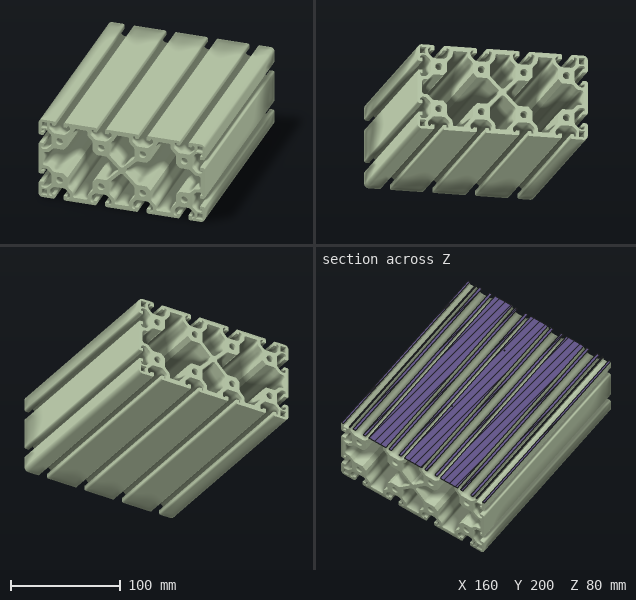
import cadquery as cq
import math

width = 160.0
height = 80.0
length = 200.0
pitch = 40.0
corner_radius = 4.0
side_skin = 4.0
cover_skin = 4.5

mouth_width = 8.2
mouth_half = mouth_width / 2
mouth_radius = 1.5
lip_half = 7.2
lip_depth = 4.5
undercut_depth = 2.5
undercut_radius = 2.5
groove_half = 10.2
groove_bend_depth = 7.5
groove_depth = 12.5
overshoot = 2.0

housing_half = 13.0
housing_bend_depth = 9.5
bend_radius = 4.0
side_flare = 2.5
cover_flare = 1.5

post_half = 7.8
post_chamfer = 3.8
hole_diameter = 6.8
cell_size = 6.0
cell_wall = 2.5
brace_thickness = 3.2
hub_size = 7.0

slot_inset = pitch / 2
post_xs = [slot_inset + i * pitch - width / 2 for i in range(4)]
post_zs = [slot_inset - height / 2, height / 2 - slot_inset]
post_centres = [(x, z) for x in post_xs for z in post_zs]


def section():
    """Sketch plane of the profile: local x is X, local y is Z."""
    return cq.Workplane("XZ")


def extrude(outline):
    return outline.extrude(length / 2, both=True)


def place(body, x, z, turn):
    """Turn a body about Y, then move it to (x, z)."""
    return body.rotate((0, 0, 0), (0, 1, 0), turn).translate((x, 0, z))


def round_edges(body, spots, radius):
    """Fillet the edges along Y that pass through the given (x, z) spots."""
    for x, z in spots:
        body = body.edges(cq.selectors.NearestToPointSelector((x, 0, z))).fillet(radius)
    return body


def slot_housing(skin, flare):
    """Wall around a slot that opens upward, with the outer face at z = 0."""
    skin_corner = (housing_half, -skin)
    wall_corner = (housing_half, -housing_bend_depth)
    post_corner = (post_half, -housing_bend_depth - (housing_half - post_half))
    outline = [
        (0, 0),
        (slot_inset, 0),
        (slot_inset, -skin),
        skin_corner,
        wall_corner,
        post_corner,
        (post_half, -slot_inset),
        (0, -slot_inset),
    ]
    half = extrude(section().polyline(outline).close())
    half = round_edges(half, [skin_corner], flare)
    half = round_edges(half, [wall_corner, post_corner], bend_radius)
    return half.union(half.mirror("YZ"))


def slot_cutter():
    """Open space of a slot that opens upward, with the outer face at z = 0."""
    mouth_corner = (mouth_half, 0)
    undercut_corner = (groove_half, -undercut_depth)
    groove_corner = (groove_half, -groove_bend_depth)
    floor_corner = (groove_half - (groove_depth - groove_bend_depth), -groove_depth)
    outline = [
        (0, overshoot),
        (slot_inset, overshoot),
        (slot_inset, 0),
        mouth_corner,
        (mouth_half, -lip_depth),
        (lip_half, -lip_depth),
        (lip_half, -undercut_depth),
        undercut_corner,
        groove_corner,
        floor_corner,
        (0, -groove_depth),
    ]
    half = extrude(section().polyline(outline).close())
    half = round_edges(half, [mouth_corner], mouth_radius)
    half = round_edges(half, [undercut_corner], undercut_radius)
    half = round_edges(half, [groove_corner, floor_corner], bend_radius)
    return half.union(half.mirror("YZ"))


def outer_block():
    return extrude(section().rect(width, height)).edges("|Y").fillet(corner_radius)


def outer_skin():
    inside = extrude(section().rect(width - 2 * side_skin, height - 2 * cover_skin))
    return outer_block().cut(inside)


def post(x, z):
    """Square post whose corner facing the middle of its end chamber is chamfered."""
    chamber_x = math.copysign(width / 2 - pitch, x)
    toward_x = math.copysign(post_half, chamber_x - x)
    toward_z = math.copysign(post_half, -z)
    keep = 1 - post_chamfer / post_half
    corners = [
        (-toward_x, -toward_z),
        (toward_x, -toward_z),
        (toward_x, toward_z * keep),
        (toward_x * keep, toward_z),
        (-toward_x, toward_z),
    ]
    return extrude(section().polyline(corners).close()).translate((x, 0, z))


def braces():
    """Crossed diagonal webs between the four middle posts, with a square hub."""
    brace_length = pitch * math.sqrt(2)
    bar = extrude(section().rect(brace_length, brace_thickness))
    hub = extrude(section().rect(hub_size, hub_size))
    return hub.union(place(bar, 0, 0, 45)).union(place(bar, 0, 0, -45))


def brace_roots():
    """Where the brace sides meet the faces of the four middle posts."""
    near = pitch / 2 - post_half
    far = near + brace_thickness / math.sqrt(2)
    signs = [(sx, sz) for sx in (-1, 1) for sz in (-1, 1)]
    return [(sx * x, sz * z) for sx, sz in signs for x, z in ((near, far), (far, near))]


def corner_cells():
    offset_x = width / 2 - cell_wall - cell_size / 2
    offset_z = height / 2 - cell_wall - cell_size / 2
    centres = [(sx * offset_x, sz * offset_z) for sx in (-1, 1) for sz in (-1, 1)]
    return extrude(section().pushPoints(centres).rect(cell_size, cell_size))


cover_slots = [(x, height / 2, 0) for x in post_xs] + [(x, -height / 2, 180) for x in post_xs]
side_slots = [(width / 2, z, 90) for z in post_zs] + [(-width / 2, z, -90) for z in post_zs]

body = braces()
for centre in post_centres:
    body = body.union(post(*centre))
body = round_edges(body, brace_roots(), bend_radius)

body = body.union(outer_skin())
cover_housing = slot_housing(cover_skin, cover_flare)
side_housing = slot_housing(side_skin, side_flare)
for spot in cover_slots:
    body = body.union(place(cover_housing, *spot))
for spot in side_slots:
    body = body.union(place(side_housing, *spot))
body = body.intersect(outer_block())

cutter = slot_cutter()
for spot in cover_slots + side_slots:
    body = body.cut(place(cutter, *spot))
body = body.cut(corner_cells())
body = body.cut(extrude(section().pushPoints(post_centres).circle(hole_diameter / 2)))

result = body.clean()